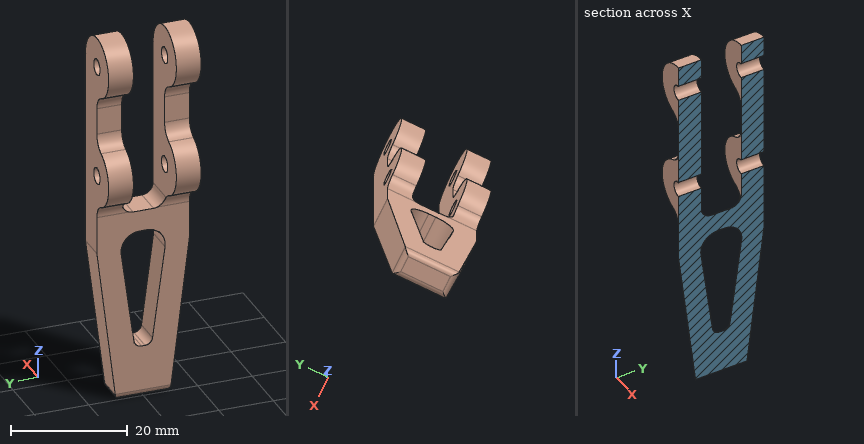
import cadquery as cq
import math

height = 70.0
width = 17.0
knuckle_diameter = 11.05
knuckle_radius = knuckle_diameter / 2

pin_diameter = 2.95
pin_spacing = 20.9
neck_fillet = 3.0
upper_pin_z = height - knuckle_radius
pin_heights = (upper_pin_z, upper_pin_z - pin_spacing)

slot_width = 7.85
slot_bottom_z = 35.5
slot_fillet = 2.0

taper_start_z = 28.7
tip_width = 10.0
tip_relief = 0.35
tip_fillet = 1.1

window_top_z = 31.6
window_bottom_z = 9.5
window_top_width = 9.0
window_bottom_width = 3.1
window_top_fillet = 3.35
window_bottom_fillet = 1.4


def handle_bar():
    """Flat bar whose back face and both sides taper towards the tip."""
    side_profile = (
        cq.Workplane("XZ")
        .moveTo(0, 0)
        .lineTo(knuckle_radius - tip_relief, 0)
        .lineTo(knuckle_radius, taper_start_z)
        .lineTo(knuckle_radius, upper_pin_z)
        .lineTo(0, upper_pin_z)
        .close()
        .extrude(width / 2, both=True)
    )
    face_profile = (
        cq.Workplane("YZ")
        .moveTo(-tip_width / 2, 0)
        .lineTo(tip_width / 2, 0)
        .lineTo(width / 2, taper_start_z)
        .lineTo(width / 2, height)
        .lineTo(-width / 2, height)
        .lineTo(-width / 2, taper_start_z)
        .close()
        .extrude(knuckle_diameter, both=True)
    )
    bar = side_profile.intersect(face_profile)
    return bar.faces("<Z").edges().fillet(tip_fillet)


def knuckle(pin_z):
    """Round boss along Y, centred on a pin axis."""
    return (
        cq.Workplane("XZ")
        .center(0, pin_z)
        .circle(knuckle_radius)
        .extrude(width / 2, both=True)
    )


def neck_blend(pin_z, direction):
    """Concave blend from a knuckle to the flat front face, above (+1) or below (-1) the pin."""
    centre_distance = knuckle_radius + neck_fillet
    centre_rise = math.sqrt(centre_distance**2 - neck_fillet**2)
    contact_share = knuckle_radius / centre_distance
    centre_z = pin_z + direction * centre_rise
    knuckle_contact = (-neck_fillet * contact_share, pin_z + direction * centre_rise * contact_share)
    middle_angle = math.atan2(centre_rise, neck_fillet) / 2
    arc_middle = (
        neck_fillet * (math.cos(middle_angle) - 1),
        centre_z - direction * neck_fillet * math.sin(middle_angle),
    )
    return (
        cq.Workplane("XZ")
        .moveTo(0, pin_z)
        .lineTo(*knuckle_contact)
        .threePointArc(arc_middle, (0, centre_z))
        .close()
        .extrude(width / 2, both=True)
    )


def fork_slot():
    """Open-topped slot with rounded bottom corners."""
    slot_height = height - slot_bottom_z
    return (
        cq.Workplane("XY")
        .workplane(offset=slot_bottom_z)
        .rect(2 * knuckle_diameter, slot_width)
        .extrude(slot_height)
        .edges("|X and <Z")
        .fillet(slot_fillet)
    )


def handle_window():
    """Rounded trapezoid passing through the handle along X."""
    return (
        cq.Workplane("YZ")
        .moveTo(-window_bottom_width / 2, window_bottom_z)
        .lineTo(window_bottom_width / 2, window_bottom_z)
        .lineTo(window_top_width / 2, window_top_z)
        .lineTo(-window_top_width / 2, window_top_z)
        .close()
        .extrude(knuckle_diameter, both=True)
        .edges("|X and >Z")
        .fillet(window_top_fillet)
        .edges("|X and <Z")
        .fillet(window_bottom_fillet)
    )


def pin_hole(pin_z):
    """Through hole along Y for a pin."""
    return (
        cq.Workplane("XZ")
        .center(0, pin_z)
        .circle(pin_diameter / 2)
        .extrude(width, both=True)
    )


body = handle_bar()
for pin_z in pin_heights:
    body = body.union(knuckle(pin_z))
    body = body.union(neck_blend(pin_z, -1))
body = body.union(neck_blend(pin_heights[1], 1))

body = body.cut(fork_slot()).cut(handle_window())
for pin_z in pin_heights:
    body = body.cut(pin_hole(pin_z))

result = body